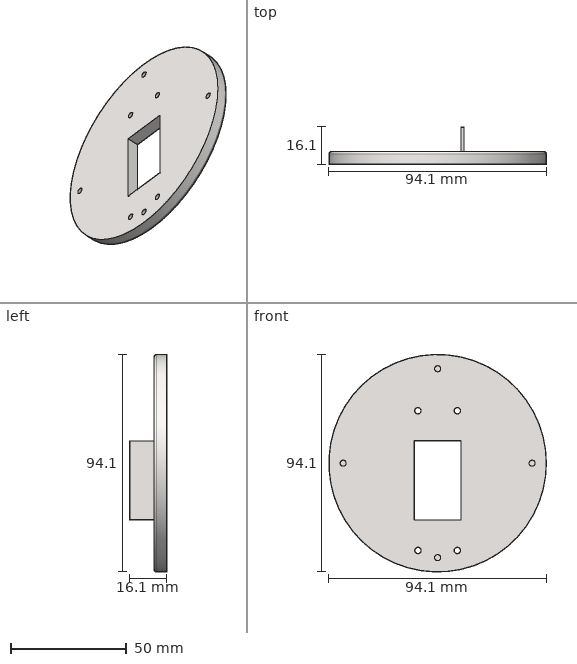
import cadquery as cq

disc_diameter = 94.1
disc_thickness = 5.55
rim_fillet = 1.1

window_width = 20.1
window_height = 34.1
window_center_z = -7.4

overall_depth = 16.1
fin_thickness = 1.4
fin_length = overall_depth - disc_thickness

hole_diameter = 2.6
blind_hole_depth = 3.8
blind_hole_radius = 40.8
through_hole_spacing = 17.0
through_hole_upper_z = 22.7
through_hole_lower_z = -37.7


def disc():
    """Round plate with its front face on the XZ plane."""
    plate = cq.Workplane("XZ").circle(disc_diameter / 2).extrude(-disc_thickness)
    return plate.faces(">Y").edges().fillet(rim_fillet)


def window():
    """Cutter for the rectangular opening."""
    return (
        cq.Workplane("XZ")
        .center(0, window_center_z)
        .rect(window_width, window_height)
        .extrude(-disc_thickness)
    )


def fin():
    """Thin upright wall flush with the side of the window."""
    return (
        cq.Workplane("XZ", origin=(0, disc_thickness, 0))
        .center((window_width + fin_thickness) / 2, window_center_z)
        .rect(fin_thickness, window_height)
        .extrude(-fin_length)
    )


def holes(points, depth):
    """Cutters for round holes entering from the front face."""
    return cq.Workplane("XZ").pushPoints(points).circle(hole_diameter / 2).extrude(-depth)


blind_points = [
    (blind_hole_radius, 0),
    (0, blind_hole_radius),
    (-blind_hole_radius, 0),
    (0, -blind_hole_radius),
]
through_points = [
    (side * through_hole_spacing / 2, z)
    for side in (-1, 1)
    for z in (through_hole_upper_z, through_hole_lower_z)
]

result = (
    disc()
    .union(fin())
    .cut(window())
    .cut(holes(blind_points, blind_hole_depth))
    .cut(holes(through_points, disc_thickness))
)